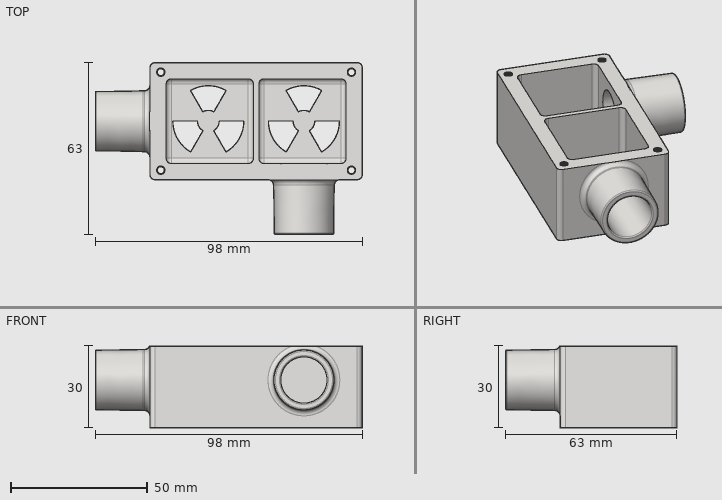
import cadquery as cq
import math

BOX_LENGTH = 78.0
BOX_WIDTH = 43.0
BOX_HEIGHT = 30.0
BOX_CORNER_RADIUS = 2.0

OUTER_WALL = 6.0
DIVIDER_WALL = 2.0
FLOOR_THICKNESS = 5.0
POCKET_CORNER_RADIUS = 2.0
POCKET_FLOOR_RADIUS = 2.0
POCKET_LENGTH = (BOX_LENGTH - 2 * OUTER_WALL - DIVIDER_WALL) / 2
POCKET_WIDTH = BOX_WIDTH - 2 * OUTER_WALL
POCKET_OFFSET = (POCKET_LENGTH + DIVIDER_WALL) / 2

VENT_OFFSET = 17.5
VENT_OUTER_RADIUS = 26.0 / 2
VENT_HUB_RADIUS = 4.0
BLADE_COUNT = 3
BLADE_ANGLE = 60
FIRST_BLADE_ANGLE = 90

THREAD_MAJOR_RADIUS = 3.0 / 2
THREAD_MINOR_RADIUS = 2.5 / 2
THREAD_PITCH = 0.5
SCREW_INSET_X = 4.0
SCREW_INSET_Y = 3.5

SPIGOT_LENGTH = 20.0
SPIGOT_ROOT_RADIUS = 22.4 / 2
SPIGOT_TIP_RADIUS = 22.0 / 2
SPIGOT_BORE_RADIUS = 17.0 / 2
SPIGOT_HEIGHT = 17.5
SPIGOT_FILLET = 2.0
SPIGOT_LIP_RADIUS = 0.5
SPIGOT_EMBED = OUTER_WALL / 2
SPIGOT_COLLAR = 0.6
NO_COLLAR = 0


def make_box():
    box = cq.Workplane("XY").box(BOX_LENGTH, BOX_WIDTH, BOX_HEIGHT, centered=(True, True, False))
    return box.edges("|Z").fillet(BOX_CORNER_RADIUS)


def make_pocket(center_x):
    depth = BOX_HEIGHT - FLOOR_THICKNESS
    pocket = (
        cq.Workplane("XY", origin=(center_x, 0, FLOOR_THICKNESS))
        .rect(POCKET_LENGTH, POCKET_WIDTH)
        .extrude(depth)
    )
    return pocket.edges("|Z").fillet(POCKET_CORNER_RADIUS).faces("<Z").edges().fillet(POCKET_FLOOR_RADIUS)


def polar_point(radius, angle):
    return (radius * math.cos(math.radians(angle)), radius * math.sin(math.radians(angle)))


def make_blade(center_x, middle_angle):
    start = middle_angle - BLADE_ANGLE / 2
    end = middle_angle + BLADE_ANGLE / 2
    return (
        cq.Workplane("XY", origin=(center_x, 0, 0))
        .moveTo(*polar_point(VENT_HUB_RADIUS, start))
        .lineTo(*polar_point(VENT_OUTER_RADIUS, start))
        .threePointArc(polar_point(VENT_OUTER_RADIUS, middle_angle), polar_point(VENT_OUTER_RADIUS, end))
        .lineTo(*polar_point(VENT_HUB_RADIUS, end))
        .threePointArc(polar_point(VENT_HUB_RADIUS, middle_angle), polar_point(VENT_HUB_RADIUS, start))
        .close()
        .extrude(FLOOR_THICKNESS)
    )


def make_screw_hole(center_x, center_y):
    """Through hole whose wall zigzags between the two thread radii, widest at both ends."""
    half_steps = 2 * round(BOX_HEIGHT / THREAD_PITCH)
    wall = []
    for step in range(half_steps + 1):
        radius = THREAD_MAJOR_RADIUS if step % 2 == 0 else THREAD_MINOR_RADIUS
        wall.append((radius, step * BOX_HEIGHT / half_steps))
    profile = cq.Workplane("XZ", origin=(center_x, center_y, 0)).polyline([(0, 0), *wall, (0, BOX_HEIGHT)])
    return profile.close().revolve(360, (0, 0), (0, 1))


def make_spigot(root, direction, collar):
    """Solid spigot on a box wall: a flare, a straight collar if it has one, then a taper to the tip."""
    flare_radius = SPIGOT_ROOT_RADIUS + SPIGOT_FILLET
    arc_shift = SPIGOT_FILLET * (1 - math.sqrt(0.5))
    side = cq.Vector(0, 0, 1)
    plane = cq.Plane(origin=root, xDir=side, normal=side.cross(direction))
    flare = (
        cq.Workplane(plane)
        .moveTo(0, -SPIGOT_EMBED)
        .lineTo(flare_radius, -SPIGOT_EMBED)
        .lineTo(flare_radius, 0)
        .threePointArc((SPIGOT_ROOT_RADIUS + arc_shift, arc_shift), (SPIGOT_ROOT_RADIUS, SPIGOT_FILLET))
    )
    if collar > 0:
        flare = flare.lineTo(SPIGOT_ROOT_RADIUS, SPIGOT_FILLET + collar)
    profile = flare.lineTo(SPIGOT_TIP_RADIUS, SPIGOT_LENGTH).lineTo(0, SPIGOT_LENGTH).close()
    return profile.revolve(360, (0, 0), (0, 1))


def make_bore(root, direction):
    """Bore from the spigot tip through the wall into the pocket behind it."""
    tip = root + direction * SPIGOT_LENGTH
    bore = cq.Solid.makeCylinder(SPIGOT_BORE_RADIUS, SPIGOT_LENGTH + OUTER_WALL, tip, direction * -1)
    return cq.Workplane(bore)


SPIGOTS = [
    (cq.Vector(-BOX_LENGTH / 2, 0, SPIGOT_HEIGHT), cq.Vector(-1, 0, 0), "<X", SPIGOT_COLLAR),
    (cq.Vector(VENT_OFFSET, -BOX_WIDTH / 2, SPIGOT_HEIGHT), cq.Vector(0, -1, 0), "<Y", NO_COLLAR),
]

result = make_box()

for root, direction, _, collar in SPIGOTS:
    result = result.union(make_spigot(root, direction, collar))

flare_trim = cq.Workplane("XY", origin=(0, 0, BOX_HEIGHT)).box(
    2 * BOX_LENGTH, 2 * BOX_LENGTH, BOX_HEIGHT, centered=(True, True, False)
)
result = result.cut(flare_trim)

for side in (-1, 1):
    result = result.cut(make_pocket(side * POCKET_OFFSET))
    for blade in range(BLADE_COUNT):
        blade_angle = FIRST_BLADE_ANGLE + blade * 360 / BLADE_COUNT
        result = result.cut(make_blade(side * VENT_OFFSET, blade_angle))

for root, direction, tip_face, _ in SPIGOTS:
    result = result.cut(make_bore(root, direction))
    result = result.faces(tip_face).edges().fillet(SPIGOT_LIP_RADIUS)

for side_x in (-1, 1):
    for side_y in (-1, 1):
        screw_x = side_x * (BOX_LENGTH / 2 - SCREW_INSET_X)
        screw_y = side_y * (BOX_WIDTH / 2 - SCREW_INSET_Y)
        result = result.cut(make_screw_hole(screw_x, screw_y))